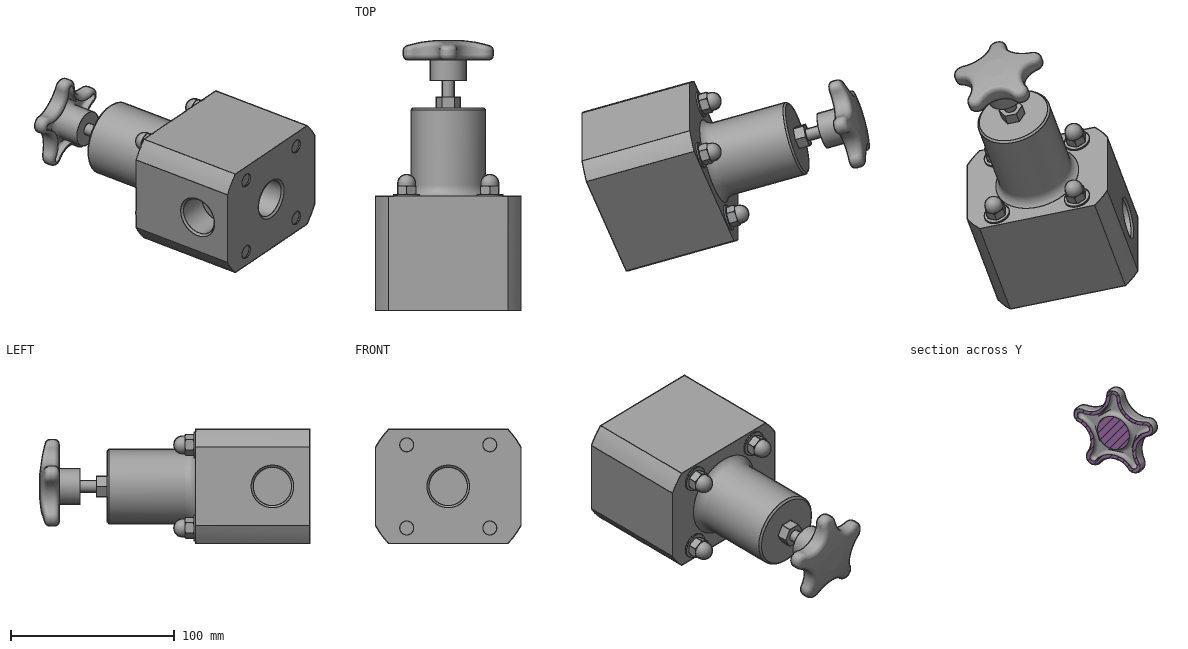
import cadquery as cq
import math


BODY_WIDTH = 88.9
BODY_HEIGHT = 69.85
BODY_LENGTH = 69.85
BODY_CORNER_DIAMETER = 101.0

PORT_DIAMETER = 23.42
PORT_MOUTH_DIAMETER = 26.0
PORT_DEPTH = 20.0
SIDE_PORT_OFFSET = 22.86

STUD_SPACING = 50.8
STUD_RECESS_DIAMETER = 8.5
STUD_RECESS_DEPTH = 1.0
WASHER_DIAMETER = 15.88
WASHER_THICKNESS = 1.0
ACORN_FLATS = 11.11
ACORN_HEX_HEIGHT = 5.35
ACORN_HEX_CHAMFER = 0.5
DOME_DIAMETER = 11.0
DOME_COLLAR_HEIGHT = 1.5

BONNET_DIAMETER = 45.72
BONNET_FLARE_RADIUS = 7.62
BONNET_FLARE_HEIGHT = 6.35
BONNET_LENGTH = 54.0
BONNET_CHAMFER = 1.2

LOCK_NUT_FLATS = 12.7
LOCK_NUT_HEIGHT = 6.6
STEM_DIAMETER = 7.44
HUB_DIAMETER = 22.1
HUB_LENGTH = 12.7

OVERALL_LENGTH = 165.09
KNOB_HEIGHT = 12.0
LOBE_COUNT = 5
LOBE_CENTRE_RADIUS = 23.5
LOBE_RADIUS = 5.2
WAIST_RADIUS = 17.4
KNOB_CROWN_RADIUS = 95.0
KNOB_FLAT_RADIUS = 7.5
KNOB_EDGE_FILLET = 2.95
POCKET_DEPTH = 4.5
POCKET_FILLET = 2.0
POCKET_LOBE_DIAMETER = 4.45
KNOB_WALL = LOBE_RADIUS - POCKET_LOBE_DIAMETER / 2
HUB_FLARE_RADIUS = 3.0

BODY_BACK = BODY_LENGTH
BONNET_END = BODY_BACK + BONNET_LENGTH
LOCK_NUT_END = BONNET_END + LOCK_NUT_HEIGHT
KNOB_BASE = OVERALL_LENGTH - KNOB_HEIGHT
HUB_START = KNOB_BASE - HUB_LENGTH

AXIS_START = (0, 0, 0)
AXIS_END = (0, 1, 0)
OVERLAP = 1.0
HALF_HEX_TURN = 30.0


def plane_at(y, x=0, z=0):
    """Work plane facing +Y; its local axes are +X and -Z."""
    return cq.Workplane(cq.Plane(origin=(x, y, z), xDir=(1, 0, 0), normal=(0, 1, 0)))


def cylinder(diameter, start, end, x=0, z=0):
    return plane_at(start, x, z).circle(diameter / 2).extrude(end - start)


def hexagon(flats, start, height, x=0, z=0, turn=0):
    """Hexagonal prism along Y; with no turn two corners lie along X."""
    corners = flats / math.cos(math.pi / 6)
    prism = plane_at(start, x, z).transformed(rotate=(0, 0, turn)).polygon(6, corners)
    return prism.extrude(height)


def stud_positions():
    half = STUD_SPACING / 2
    return [(x, z) for x in (-half, half) for z in (-half, half)]


def make_port():
    """Cutter for a blind port opening at the origin and running along +Y."""
    bore_radius = PORT_DIAMETER / 2
    mouth_radius = PORT_MOUTH_DIAMETER / 2
    mouth_depth = mouth_radius - bore_radius
    profile = cq.Workplane("XY").polyline([
        (0, 0),
        (mouth_radius, 0),
        (bore_radius, mouth_depth),
        (bore_radius, PORT_DEPTH),
        (0, PORT_DEPTH),
    ]).close()
    return profile.revolve(360, AXIS_START, AXIS_END)


def make_body():
    block = plane_at(0).rect(BODY_WIDTH, BODY_HEIGHT).extrude(BODY_LENGTH)
    body = block.intersect(cylinder(BODY_CORNER_DIAMETER, 0, BODY_LENGTH))
    front_port = make_port()
    side_port = make_port().rotate(AXIS_START, (0, 0, 1), -90)
    side_port = side_port.translate((-BODY_WIDTH / 2, SIDE_PORT_OFFSET, 0))
    body = body.cut(front_port).cut(side_port)
    for x, z in stud_positions():
        body = body.cut(cylinder(STUD_RECESS_DIAMETER, 0, STUD_RECESS_DEPTH, x, z))
    return body


def make_acorn_nut(x, z):
    """Washer, hexagon and domed cap of one stud."""
    hex_start = BODY_BACK + WASHER_THICKNESS
    hex_end = hex_start + ACORN_HEX_HEIGHT
    dome_start = hex_end + DOME_COLLAR_HEIGHT
    corners = ACORN_FLATS / math.cos(math.pi / 6)
    washer = cylinder(WASHER_DIAMETER, BODY_BACK - OVERLAP, hex_start, x, z)
    chamfered_bar = cylinder(corners, hex_start, hex_end, x, z)
    chamfered_bar = chamfered_bar.edges("%CIRCLE").chamfer(ACORN_HEX_CHAMFER)
    nut = hexagon(ACORN_FLATS, hex_start, ACORN_HEX_HEIGHT, x, z, turn=HALF_HEX_TURN).intersect(chamfered_bar)
    collar = cylinder(DOME_DIAMETER, hex_start, dome_start, x, z)
    dome = cq.Workplane("XY").sphere(DOME_DIAMETER / 2).translate((x, dome_start, z))
    return washer.union(nut).union(collar).union(dome)


def make_bonnet():
    """Round bonnet that flares out where it meets the body."""
    radius = BONNET_DIAMETER / 2
    flare_top = BODY_BACK + BONNET_FLARE_HEIGHT
    flare_angle = math.asin(BONNET_FLARE_HEIGHT / BONNET_FLARE_RADIUS)

    def flare_point(angle):
        return (
            radius + BONNET_FLARE_RADIUS * (1 - math.cos(angle)),
            flare_top - BONNET_FLARE_RADIUS * math.sin(angle),
        )

    foot = flare_point(flare_angle)
    profile = (
        cq.Workplane("XY")
        .moveTo(0, BODY_BACK - OVERLAP)
        .lineTo(foot[0], BODY_BACK - OVERLAP)
        .lineTo(*foot)
        .threePointArc(flare_point(flare_angle / 2), (radius, flare_top))
        .lineTo(radius, BONNET_END - BONNET_CHAMFER)
        .lineTo(radius - BONNET_CHAMFER, BONNET_END)
        .lineTo(0, BONNET_END)
        .close()
    )
    return profile.revolve(360, AXIS_START, AXIS_END)


def polar(radius, angle):
    """Point in the knob plane; angle zero points to +Z."""
    return (radius * math.sin(angle), -radius * math.cos(angle))


def star_outline(start, inset):
    """Closed star of tangent arcs, drawn a constant inset inside the knob outline."""
    half_pitch = math.pi / LOBE_COUNT
    hollow_centre = (LOBE_CENTRE_RADIUS**2 - (LOBE_RADIUS - WAIST_RADIUS)**2) / (
        2 * (LOBE_CENTRE_RADIUS * math.cos(half_pitch) + LOBE_RADIUS - WAIST_RADIUS)
    )
    hollow_radius = hollow_centre - WAIST_RADIUS
    lobe_share = (LOBE_RADIUS - inset) / (LOBE_RADIUS + hollow_radius)

    def joint(lobe_angle, side):
        lobe = polar(LOBE_CENTRE_RADIUS, lobe_angle)
        hollow = polar(hollow_centre, lobe_angle + side * half_pitch)
        return tuple(a + lobe_share * (b - a) for a, b in zip(lobe, hollow))

    outline = plane_at(start).moveTo(*joint(0, -1))
    for index in range(LOBE_COUNT):
        angle = 2 * half_pitch * index
        tip = polar(LOBE_CENTRE_RADIUS + LOBE_RADIUS - inset, angle)
        waist = polar(WAIST_RADIUS - inset, angle + half_pitch)
        outline = outline.threePointArc(tip, joint(angle, 1))
        outline = outline.threePointArc(waist, joint(angle + 2 * half_pitch, -1))
    return outline.close()


def make_hub_flare():
    """Coved ring that carries the hub into the pocket floor."""
    hub_radius = HUB_DIAMETER / 2
    foot_radius = hub_radius + HUB_FLARE_RADIUS
    floor = KNOB_BASE + POCKET_DEPTH
    shoulder = floor - HUB_FLARE_RADIUS
    cove_offset = HUB_FLARE_RADIUS * math.sqrt(0.5)
    profile = (
        cq.Workplane("XY")
        .moveTo(0, shoulder)
        .lineTo(hub_radius, shoulder)
        .threePointArc((foot_radius - cove_offset, shoulder + cove_offset), (foot_radius, floor))
        .lineTo(foot_radius, floor + OVERLAP)
        .lineTo(0, floor + OVERLAP)
        .close()
    )
    return profile.revolve(360, AXIS_START, AXIS_END)


def make_knob():
    """Five-lobed handwheel, crowned on the outside and hollow underneath."""
    crown_rise = math.sqrt(KNOB_CROWN_RADIUS**2 - KNOB_FLAT_RADIUS**2)
    crown = cq.Workplane("XY").sphere(KNOB_CROWN_RADIUS)
    crown = crown.translate((0, OVERALL_LENGTH - crown_rise, 0))
    star = star_outline(KNOB_BASE, 0).extrude(KNOB_HEIGHT).intersect(crown)
    star = star.faces("%SPHERE").edges("not %CIRCLE").fillet(KNOB_EDGE_FILLET)
    star = star.faces("<Y").edges().fillet(KNOB_EDGE_FILLET)
    pocket = star_outline(KNOB_BASE, KNOB_WALL).extrude(POCKET_DEPTH)
    pocket = pocket.faces(">Y").edges().fillet(POCKET_FILLET)
    return star.cut(pocket).union(make_hub_flare())


def make_spindle():
    """Lock nut, stem and knob hub."""
    nut = hexagon(LOCK_NUT_FLATS, BONNET_END - OVERLAP, LOCK_NUT_HEIGHT + OVERLAP)
    stem = cylinder(STEM_DIAMETER, LOCK_NUT_END - OVERLAP, HUB_START + OVERLAP)
    hub = cylinder(HUB_DIAMETER, HUB_START, KNOB_BASE + POCKET_DEPTH + OVERLAP)
    return nut.union(stem).union(hub)


result = make_body().union(make_bonnet()).union(make_spindle()).union(make_knob())
for stud_x, stud_z in stud_positions():
    result = result.union(make_acorn_nut(stud_x, stud_z))